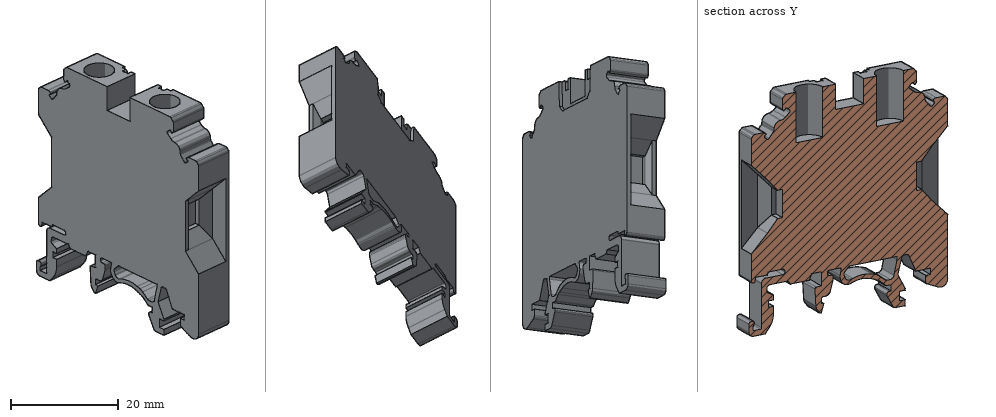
import cadquery as cq
import math


width = 7.95
height = 46.65
half_length = 21.25
hook_reach = 21.75
shoulder_z = 39.95
rail_seat_z = 10.05
tower_bevel = 0.75
shoulder_bevel = 0.65
bevel_radius = 0.4
sharp = 0

tower_half_length = 14.55
gap_half_length = 3.0
gap_depth = 5.0

screw_diameter = 5.7
screw_x = 8.7
screw_y = 3.55
screw_depth = 10.0

entry_mid_z = 25.15
entry_outer_height = 17.5
entry_depth = 3.5
entry_wall = 0.85
funnel_depth = 2.2
funnel_end_front = 1.2
funnel_end_back = 5.75
funnel_end_height = 5.5
socket_depth = 1.0

marker_depth = 0.65
marker_height = 6.0
marker_top_half = 6.4
marker_knee_half = 6.2
marker_floor_half = 5.0
latch_depth = 0.85
latch_height = 2.0
latch_inner = 4.05
latch_outer = 5.0
latch_lead_in = 0.45
latch_lead_drop = 0.3


def rounded_outline(corners):
    """Closed X-Z wire through (x, z, radius) corners, each rounded by a tangent arc."""
    sketch = None
    count = len(corners)
    for i in range(count):
        x, z, radius = corners[i]
        before = corners[i - 1]
        after = corners[(i + 1) % count]
        back = cq.Vector(before[0] - x, before[1] - z).normalized()
        ahead = cq.Vector(after[0] - x, after[1] - z).normalized()
        corner = cq.Vector(x, z)
        half_angle = back.getAngle(ahead) / 2
        setback = radius / math.tan(half_angle)
        start = corner + back * setback
        end = corner + ahead * setback
        if sketch is None:
            sketch = cq.Workplane("XZ").moveTo(start.x, start.y)
        else:
            sketch = sketch.lineTo(start.x, start.y)
        if radius > 0:
            bisector = (back + ahead).normalized()
            crown = corner + bisector * (radius / math.sin(half_angle) - radius)
            sketch = sketch.threePointArc((crown.x, crown.y), (end.x, end.y))
    return sketch.close()


def extrude_across(sketch, y_start, y_end):
    """Extrude an X-Z sketch from y_start to y_end."""
    return sketch.extrude(-(y_end - y_start)).translate((0, y_start, 0))


def upper_side():
    """Right tower, its marker groove, the curved flank and the right shoulder."""
    groove_z = 43.75
    groove_x = 12.75
    flank_x = 16.4
    notch_x = 18.35
    return [
        (gap_half_length, height - gap_depth, sharp),
        (gap_half_length, height, sharp),
        (tower_half_length - tower_bevel, height, bevel_radius),
        (tower_half_length, height - tower_bevel, bevel_radius),
        (tower_half_length, groove_z, 0.4),
        (tower_half_length - 0.4, groove_z - 0.4, sharp),
        (tower_half_length - 0.9, groove_z + 0.15, 0.2),
        (groove_x, groove_z - 0.65, 0.3),
        (14.3, 41.75, 1.7),
        (flank_x - 0.2, 41.6, 1.5),
        (flank_x, 39.8, 0.3),
        (17.65, 38.3, 0.3),
        (notch_x, 39.05, sharp),
        (notch_x - 0.4, 39.5, sharp),
        (notch_x, shoulder_z, 0.7),
        (half_length - shoulder_bevel, shoulder_z, bevel_radius),
        (half_length, shoulder_z - shoulder_bevel, bevel_radius),
    ]


def right_foot():
    """Fixed foot that grips the rail edge from the right."""
    jaw_x = 16.4
    jaw_top = 5.25
    slot_z = 6.4
    slot_x = 17.4
    return [
        (half_length, 1.4, 1.5),
        (jaw_x, 3.6, 0.6),
        (jaw_x, jaw_top, sharp),
        (slot_x, jaw_top, sharp),
        (slot_x, slot_z, sharp),
        (14.3, slot_z, sharp),
        (12.65, rail_seat_z, 0.4),
    ]


def spring_leg():
    """Leg beside the right foot and the lower face of the curved spring arm."""
    foot_x = 12.05
    slot_x = 10.85
    slot_bottom = 1.25
    slot_top = 3.05
    heel_x = 8.0
    step_x = 8.9
    step_bottom = 3.55
    step_top = 4.7
    return [
        (11.4, rail_seat_z, 0.5),
        (10.5, 6.5, sharp),
        (foot_x, 3.4, sharp),
        (foot_x, slot_top, sharp),
        (slot_x, slot_top, sharp),
        (slot_x, slot_bottom, sharp),
        (foot_x, slot_bottom, sharp),
        (foot_x, 0, sharp),
        (9.5, 0, 0.8),
        (heel_x, 2.8, 0.3),
        (heel_x, step_bottom, 0.5),
        (step_x, step_bottom, sharp),
        (step_x, step_top, sharp),
        (7.9, step_top, 0.3),
        (6.45, 5.95, 2.0),
        (2.8, 7.5, 6.0),
        (-1.4, 5.95, 1.7),
        (-2.15, 8.3, 1.2),
        (-1.8, rail_seat_z, 0.2),
    ]


def centre_leg():
    """Short barbed leg in the middle of the rail opening."""
    left_x = -7.55
    right_x = -3.5
    barb_x = -6.05
    root_x = -6.15
    head_z = 9.05
    barb_top = 5.05
    tip_z = 1.95
    return [
        (-4.75, rail_seat_z, 0.4),
        (-4.7, head_z, 0.4),
        (right_x, head_z, 0.3),
        (right_x, 8.0, 1.5),
        (-4.35, barb_top, 1.0),
        (barb_x, barb_top, 0.3),
        (barb_x, 3.85, sharp),
        (-5.5, 3.7, sharp),
        (barb_x, tip_z, sharp),
        (-6.4, tip_z, sharp),
        (-7.3, 3.1, 1.5),
        (left_x, 7.3, 0.3),
        (root_x, 7.35, sharp),
        (root_x, rail_seat_z, sharp),
    ]


def release_foot():
    """Sprung left foot with its release hook, and the relief slot above it."""
    stiffener_z = 8.85
    web_z = 9.55
    jaw_x = -16.4
    slot_x = -17.4
    slot_bottom = 5.2
    slot_top = 6.4
    leg_x = -19.05
    hook_inner = -20.75
    hook_floor = 1.2
    hook_top = 3.1
    relief_end = -14.0
    skirt_bottom = 10.55
    relief_bottom = 11.1
    relief_top = 12.1
    skirt_z = 11.55
    return [
        (-8.1, rail_seat_z, sharp),
        (-8.7, stiffener_z, sharp),
        (-12.8, stiffener_z, sharp),
        (-13.3, web_z, sharp),
        (-17.75, web_z, 0.6),
        (-17.85, 8.2, 0.4),
        (jaw_x, 7.45, sharp),
        (jaw_x, slot_top, sharp),
        (slot_x, slot_top, sharp),
        (slot_x, slot_bottom, sharp),
        (jaw_x, slot_bottom, sharp),
        (jaw_x, 2.2, 4.0),
        (-18.2, 0, sharp),
        (-hook_reach, 0, 1.0),
        (-hook_reach, hook_top, 0.5),
        (-20.1, hook_top, 0.5),
        (hook_inner, 2.0, sharp),
        (hook_inner, hook_floor, sharp),
        (leg_x, hook_floor, 0.2),
        (leg_x, relief_bottom, 0.95),
        (relief_end, relief_bottom, 0.45),
        (relief_end, relief_top, 0.45),
        (-17.5, relief_top, sharp),
        (-17.75, skirt_z, sharp),
        (-20.25, skirt_z, sharp),
        (-20.4, skirt_bottom, 0.25),
        (-half_length, skirt_bottom, 0.5),
    ]


def spring_window():
    """Opening enclosed by the spring arm."""
    return [
        (-0.05, rail_seat_z, sharp),
        (10.25, rail_seat_z, sharp),
        (10.2, 9.5, sharp),
        (9.4, 5.85, 0.8),
        (7.85, 5.85, 0.6),
        (6.1, 7.3, 2.0),
        (2.8, 8.3, 7.0),
        (-0.5, 7.15, 0.9),
        (-1.3, 8.8, 0.6),
    ]


def make_housing():
    right_top = upper_side()
    left_top = [(-x, z, radius) for x, z, radius in reversed(right_top)]
    corners = right_top + right_foot() + spring_leg() + centre_leg() + release_foot() + left_top
    housing = extrude_across(rounded_outline(corners), 0, width)
    window = extrude_across(rounded_outline(spring_window()), 0, width)
    return housing.cut(window)


def make_screw_hole(x):
    return (
        cq.Workplane("XY", origin=(x, screw_y, height))
        .circle(screw_diameter / 2)
        .extrude(-screw_depth)
    )


def make_left_wire_entry():
    """Bevelled recess open to the front, then a funnel and a short blind socket."""
    outer_half = entry_outer_height / 2
    inner_half = outer_half - entry_depth
    funnel_x = -half_length + entry_depth
    entry_back = width - entry_wall

    recess = extrude_across(
        cq.Workplane("XZ").polyline([
            (-half_length, entry_mid_z - outer_half),
            (funnel_x, entry_mid_z - inner_half),
            (funnel_x, entry_mid_z + inner_half),
            (-half_length, entry_mid_z + outer_half),
        ]).close(),
        0,
        entry_back,
    )

    mouth_mid_y = (entry_wall + entry_back) / 2
    end_mid_y = (funnel_end_front + funnel_end_back) / 2
    end_width = funnel_end_back - funnel_end_front
    funnel = (
        cq.Workplane("YZ", origin=(funnel_x, mouth_mid_y, entry_mid_z))
        .rect(entry_back - entry_wall, 2 * inner_half)
        .workplane(offset=funnel_depth)
        .center(end_mid_y - mouth_mid_y, 0)
        .rect(end_width, funnel_end_height)
        .loft(ruled=True)
    )
    socket = (
        cq.Workplane("YZ", origin=(funnel_x + funnel_depth, end_mid_y, entry_mid_z))
        .rect(end_width, funnel_end_height)
        .extrude(socket_depth)
    )
    return recess.union(funnel).union(socket)


def make_marker_recess():
    """Shallow recess in the back face, narrowing at 45 degrees to its floor."""
    floor_z = height - marker_height
    knee_z = floor_z + marker_knee_half - marker_floor_half
    sketch = cq.Workplane("XZ").polyline([
        (-marker_top_half, height),
        (-marker_knee_half, knee_z),
        (-marker_floor_half, floor_z),
        (marker_floor_half, floor_z),
        (marker_knee_half, knee_z),
        (marker_top_half, height),
    ]).close()
    return extrude_across(sketch, width - marker_depth, width)


def make_right_latch_pocket():
    """Pocket behind the marker recess, with a sloped lead-in on its outer side."""
    sketch = cq.Workplane("XZ").polyline([
        (latch_inner, height),
        (latch_inner, height - latch_height),
        (latch_outer, height - latch_height),
        (latch_outer, height - latch_lead_drop),
        (latch_outer + latch_lead_in, height),
    ]).close()
    back = width - marker_depth
    return extrude_across(sketch, back - latch_depth, back)


block = make_housing()
for side in (-1, 1):
    block = block.cut(make_screw_hole(side * screw_x))

left_entry = make_left_wire_entry()
block = block.cut(left_entry).cut(left_entry.mirror("YZ"))

latch_pocket = make_right_latch_pocket()
block = block.cut(make_marker_recess())
block = block.cut(latch_pocket).cut(latch_pocket.mirror("YZ"))

result = block